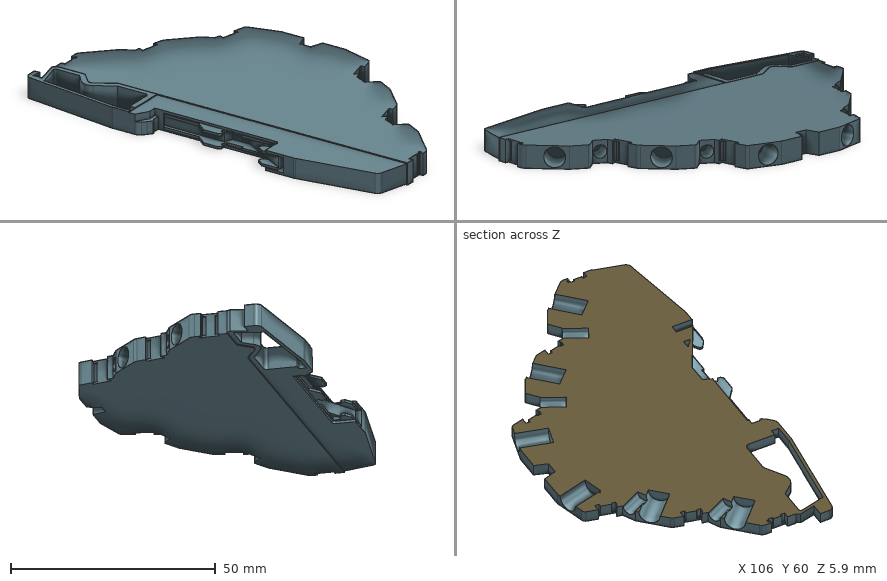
import cadquery as cq
import math


body_thickness = 5.9
loop_bottom = 0.26
loop_top = body_thickness - 0.05
base_bottom = 0.26
base_top = body_thickness - 0.26
mid_z = (base_bottom + base_top) / 2

left_end = -46.6
right_wall = 59.4
left_wall = 43.8
body_height = 60.0
body_floor = 12.5

top_flat_half = 9.3
top_corner = (18.2, 57.6)
top_corner_radius = 1.1
top_notch_half = 2.8
top_notch_floor_half = 1.6
top_notch_depth = 3.5

shoulder_x = 19.2
shoulder_y = 54.0
groove_height = 4.9
groove_inset = 1.2
lower_lip = [(1.3, 4.3), (1.6, 5.8)]
screw_face_end = (4.9, 7.5)
wire_face_run = 6.6
wire_face_drop = 6.7
wire_face_radius = 2.1
tier_run = 12.2
tier_drop = 17.1

valley_width = 7.5
valley_peak_run = 3.1
valley_peak_rise = 2.4
valley_peak_radius = 0.5

end_groove_top = 19.3
end_groove_bottom = 14.8
end_groove_depth = 1.1
end_nick = 0.5

undercut_length = 1.1
undercut_depth = 0.5
undercut_width = 4.9

wire_hole_diameter = 5.3
wire_hole_depth = 8.5
wire_hole_from_crest = 3.6
screw_hole_diameter = 3.4
screw_hole_depth = 6.4

dip_start = -35.2
dip_end = -25.7
dip_point = (-31.6, 8.6)
dip_radius = 1.6
loop_dip_point = (-32.1, 6.7)
loop_dip_radius = 3.1
loop_wall = 1.4
loop_leg_left = -15.7
loop_leg_bottom = 2.9
loop_arm_thickness = 1.0
loop_bend_x = -19.1
loop_bend_radius = 4.2
loop_hook_top = 7.3
loop_hook_radius = 1.6
opening_left_radius = 0.6
opening_right_radius = 1.0
release_pocket_depth = 2.1

base_left = -14.1
rail_face = 5.7
foot_left = -10.2
foot_right = 26.1
base_bend = (34.6, 0)
base_toe = (56.8, 3.7)
base_bend_radius = 3.7
base_toe_radius = 1.6
rail_corner_radius = 0.7
claw_top = 3.7
claw_tip_radius = 2.1
slot_half = 4.1 / 2
web_half = 2.9 / 2
slot_left = -7.7
slot_end = 31.3
slot_roof = 5.5
spring_face = 5.2
spring_lead = 0.5
web_face = 6.1
hook_bottom = 2.9
hook_end = 10.8
flat_bar_left = 15.4
pocket_roof = 8.5
latch_stem = 25.1
latch_end = 29.3
latch_bottom = 0.5
arm_root = 15.9
arm_exit = 21.7
arm_slope = (pocket_roof - spring_face) / (arm_exit - arm_root)


def prism(points, bottom, top):
    return cq.Workplane("XY").workplane(offset=bottom).polyline(points).close().extrude(top - bottom)


def box(x0, x1, y0, y1, z0, z1):
    return cq.Workplane("XY").box(x1 - x0, y1 - y0, z1 - z0, centered=False).translate((x0, y0, z0))


def round_corner(solid, point, radius):
    """Fillet the upright edge nearest to an XY point."""
    nearest = cq.selectors.NearestToPointSelector((point[0], point[1], mid_z))
    return solid.edges("|Z").edges(nearest).fillet(radius)


def tier_flank(tier, valley):
    """Outline on the +X side from a tier's groove lip to the end of its sloping wire face."""
    x = shoulder_x + tier * (tier_run + valley)
    y = shoulder_y - tier * tier_drop
    face_x, face_y = screw_face_end
    offsets = [(0, 0), (-groove_inset, 0), (0, groove_height)] + lower_lip + [screw_face_end]
    if valley:
        offsets.append((face_x + valley_peak_run, face_y - valley_peak_rise))
        face_x += valley
        offsets.append((face_x, face_y))
    offsets.append((face_x + wire_face_run, face_y + wire_face_drop))
    return [(x + dx, y - dy) for dx, dy in offsets]


def wall_corner(valley, wall_x):
    """Point where the lowest wire face, running on at its slope, meets the end wall."""
    crest_x, crest_y = tier_flank(1, valley)[-2]
    return wall_x, crest_y - (wall_x - crest_x) * wire_face_drop / wire_face_run


def half_outline(valley, wall_x):
    """Body outline on the +X side, from the top notch down to the body floor."""
    floor_x = wall_x - end_groove_depth
    top_tier = [
        (top_notch_floor_half, body_height - top_notch_depth),
        (top_notch_half, body_height),
        (top_flat_half, body_height),
        top_corner,
    ]
    wall = [
        wall_corner(valley, wall_x),
        (wall_x, end_groove_top),
        (floor_x, end_groove_top),
        (floor_x, end_groove_bottom),
        (wall_x, end_groove_bottom),
        (wall_x, body_floor),
    ]
    return top_tier + tier_flank(0, valley) + tier_flank(1, valley)[:-1] + wall


def face_hole(start, end, distance, diameter, depth):
    """Blind hole square to the edge face start -> end, at a distance along that face."""
    dx, dy = end[0] - start[0], end[1] - start[1]
    length = math.hypot(dx, dy)
    inward = cq.Vector(dy / length, -dx / length, 0)
    along = cq.Vector(dx / length, dy / length, 0)
    mouth = cq.Vector(start[0], start[1], mid_z) + along * distance
    overrun = 1.1
    drill = cq.Solid.makeCylinder(diameter / 2, depth + overrun, mouth - inward * overrun, inward)
    return cq.Workplane(drill)


def undercut(x, y):
    block = cq.Workplane("XY").box(2 * undercut_depth, undercut_length, undercut_width)
    return block.translate((x, y, mid_z))


def flank_cuts(valley, wall_x):
    """Wire holes, screw holes and groove undercuts of the +X side."""
    half_length = undercut_length / 2
    floor_x = wall_x - end_groove_depth
    wire_faces = [((top_flat_half, body_height), top_corner)]
    cuts = [
        undercut(floor_x, end_groove_top - half_length),
        undercut(floor_x, end_groove_bottom + half_length),
        box(floor_x - end_nick / 2, floor_x + end_nick / 2, end_groove_top, end_groove_top + end_nick,
            0, body_thickness),
    ]
    for tier in range(2):
        flank = tier_flank(tier, valley)
        groove_top, groove_bottom = flank[1:3]
        screw_start, screw_end = flank[4:6]
        wire_faces.append((flank[-2], flank[-1]))
        screw_distance = math.dist(screw_start, screw_end) / 2
        cuts.append(face_hole(screw_start, screw_end, screw_distance, screw_hole_diameter, screw_hole_depth))
        cuts.append(undercut(groove_top[0], groove_top[1] - half_length))
        cuts.append(undercut(groove_bottom[0], groove_bottom[1] + half_length))
    for start, end in wire_faces:
        cuts.append(face_hole(start, end, wire_hole_from_crest, wire_hole_diameter, wire_hole_depth))
    return cuts


def half_body(valley, wall_x):
    """Body on the +X side of the middle of the top tier."""
    middle = [(0, body_floor), (0, body_height - top_notch_depth)]
    half = prism(middle + half_outline(valley, wall_x), 0, body_thickness)
    half = round_corner(half, top_corner, top_corner_radius)
    half = round_corner(half, tier_flank(0, valley)[-1], wire_face_radius)
    half = round_corner(half, wall_corner(valley, wall_x), wire_face_radius)
    if valley:
        for tier in range(2):
            half = round_corner(half, tier_flank(tier, valley)[-3], valley_peak_radius)
    for cut in flank_cuts(valley, wall_x):
        half = half.cut(cut)
    return half


def make_body():
    right = half_body(valley_width, right_wall)
    left = half_body(0, left_wall).mirror("YZ")
    dip = prism([(dip_start, body_floor), dip_point, (dip_end, body_floor)], 0, body_thickness)
    return right.union(left).union(round_corner(dip, dip_point, dip_radius))


def make_loop():
    """Spring loop with a release hook, left of the mounting foot."""
    hook_corner = (left_end, 3.5)
    bend = (loop_bend_x, 0)
    outline = prism([
        (-left_wall, body_floor), (-44.4, 11.6), (-43.4, loop_hook_top), (left_end, loop_hook_top),
        hook_corner, bend, (base_left, 0), (base_left, body_floor)], loop_bottom, loop_top)
    outline = round_corner(outline, hook_corner, loop_hook_radius)
    outline = round_corner(outline, bend, loop_bend_radius)

    ceiling = body_floor - loop_wall
    upper_left = (-43.4, ceiling)
    upper_right = (loop_leg_left, ceiling)
    opening = prism([
        upper_left, (-35.9, ceiling), loop_dip_point, (-24.8, ceiling), upper_right,
        (loop_leg_left, loop_arm_thickness), (loop_bend_x, loop_arm_thickness), (-41.4, 3.8)],
        0, body_thickness)
    opening = round_corner(opening, loop_dip_point, loop_dip_radius)
    opening = round_corner(opening, upper_left, opening_left_radius)
    opening = round_corner(opening, upper_right, opening_right_radius)

    leg_gap = box(loop_leg_left, base_left, loop_arm_thickness, loop_leg_bottom, 0, body_thickness)
    release_pocket = prism(
        [(-44.9, loop_hook_top), (-45.4, 4.9), (-42.8, 4.9), (-43.4, loop_hook_top)],
        loop_top - release_pocket_depth, body_thickness)
    return outline.cut(opening).cut(leg_gap).cut(release_pocket)


def make_base():
    """Base bar with the rail gap between its two feet."""
    inner_corner = (foot_right, rail_face)
    base = prism([
        (base_left, 0), (-12.3, 0), (foot_left, 3.4), (foot_left, rail_face), inner_corner,
        (foot_right, 0), base_bend, base_toe, (59.1, body_floor), (base_left, body_floor)],
        base_bottom, base_top)
    base = round_corner(base, inner_corner, rail_corner_radius)
    base = round_corner(base, base_bend, base_bend_radius)
    base = round_corner(base, base_toe, base_toe_radius)
    claw_tip = (-11.3, 0)
    claw = prism([
        (base_left, 0), claw_tip, (-9.8, 1.6), (-8.8, 2.9), (-8.8, 3.3), (-9.2, 3.6),
        (-9.2, rail_face), (base_left, rail_face)], base_bottom, claw_top)
    claw = round_corner(claw, claw_tip, claw_tip_radius)
    return base.union(claw)


def make_spring_recesses():
    """Slot into the right foot, pocket above the spring arm, and gap between hook and flat bar."""
    slot = box(foot_right - 1.1, slot_end, 0, slot_roof, mid_z - slot_half, mid_z + slot_half)
    pocket = prism([
        (slot_left, 0), (slot_left, web_face), (9.9, web_face), (hook_end, pocket_roof),
        (arm_root, pocket_roof), (arm_exit, spring_face), (arm_exit, 0)], mid_z - web_half, mid_z + web_half)
    gap = box(hook_end, flat_bar_left, rail_face, web_face, mid_z - slot_half, mid_z + slot_half)
    return slot.union(pocket).union(gap)


def spring_rail(z0, z1):
    """One side rail of the foot spring: bar with hook, flat bar, and latch."""
    hook = prism([
        (slot_left, rail_face), (slot_left + spring_lead, spring_face), (3.1, spring_face),
        (5.9, hook_bottom), (10.2, hook_bottom), (hook_end, 3.5), (hook_end, 4.2), (10.0, 4.8),
        (10.4, rail_face)], z0, z1)
    flat_bar = box(flat_bar_left, foot_right, slot_roof, rail_face, z0, z1)
    latch = prism([
        (latch_stem, rail_face), (latch_stem, 3.5), (24.2, 3.5), (22.8, 2.6), (22.8, 1.8),
        (24.6, latch_bottom), (latch_end, latch_bottom), (latch_end, rail_face)], z0, z1)
    return hook.union(flat_bar).union(latch)


def make_spring():
    lower_rail = spring_rail(mid_z - slot_half, mid_z - web_half)
    upper_rail = spring_rail(mid_z + web_half, mid_z + slot_half)
    arm_start = arm_root + (pocket_roof - rail_face) / arm_slope
    arm_tip = pocket_roof - arm_slope * (latch_end - arm_root)
    arm = prism([
        (arm_start, rail_face), (latch_end, arm_tip), (latch_end, rail_face),
        (latch_stem, rail_face), (latch_stem, 4.0), (23.1, rail_face)], mid_z - web_half, mid_z + web_half)
    return lower_rail.union(upper_rail).union(arm)


base = make_base().cut(make_spring_recesses()).union(make_spring())
loop = make_loop()
result = base.union(loop).union(make_body())